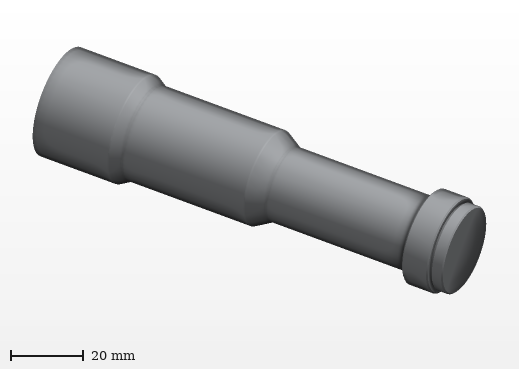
import cadquery as cq
import math

head_radius = 32.0 / 2
body_radius = 14.0
neck_radius = 11.0
flange_radius = body_radius
groove_radius = 12.4
tip_radius = 25.7 / 2

total_length = 126.4
head_cone_start = 23.5
body_cone_start = 65.0
flange_start = 114.3
flange_end = 122.4
groove_end = 123.1

cone_angle = math.radians(30)
shoulder_round = 1.0
edge_chamfer = 0.4


def cone_length(large_radius, small_radius):
    return (large_radius - small_radius) / math.tan(cone_angle)


def disc(start, end, radius):
    return cq.Workplane("YZ", origin=(start, 0, 0)).circle(radius).extrude(end - start)


head_cone_end = head_cone_start + cone_length(head_radius, body_radius)
body_cone_end = body_cone_start + cone_length(body_radius, neck_radius)
shaft_outline = [
    (0, 0),
    (0, head_radius),
    (head_cone_start, head_radius),
    (head_cone_end, body_radius),
    (body_cone_start, body_radius),
    (body_cone_end, neck_radius),
    (flange_start, neck_radius),
    (flange_start, 0),
]
shaft = cq.Workplane("XY").polyline(shaft_outline).close().revolve(360, (0, 0, 0), (1, 0, 0))

shoulder_positions = [head_cone_start, head_cone_end, body_cone_start, body_cone_end]
search_margin = 0.1
for position in shoulder_positions:
    shoulder_edge = cq.selectors.BoxSelector(
        (position - search_margin, -head_radius, -head_radius),
        (position + search_margin, head_radius, head_radius),
    )
    shaft = shaft.edges("%CIRCLE").edges(shoulder_edge).fillet(shoulder_round)

flange = disc(flange_start, flange_end, flange_radius).edges().chamfer(edge_chamfer)
groove = disc(flange_end, groove_end, groove_radius)
tip = disc(groove_end, total_length, tip_radius).faces(">X").edges().chamfer(edge_chamfer)

result = shaft.union(flange).union(groove).union(tip)